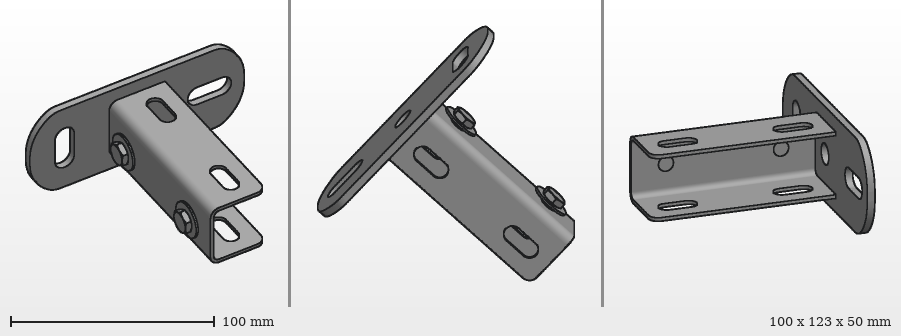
import cadquery as cq
import math

PLATE_LENGTH = 123.0
PLATE_HEIGHT = 50.0
PLATE_THICKNESS = 4.0
END_FLAT = 4.9
END_RADIUS = 25.0
BLEND_RADIUS = 11.6
PLATE_OPENING_WIDTH = 11.0
PLATE_SLOT_LENGTH = 25.0
PLATE_SLOT_OFFSET = 41.6

OVERALL_LENGTH = 100.0
CHANNEL_DEPTH = 32.0
CHANNEL_HEIGHT = 35.0
WALL = 2.0
BEND_RADIUS = 4.9
FLANGE_CORNER_RADIUS = 5.0
FLANGE_SLOT_LENGTH = 20.0
FLANGE_SLOT_WIDTH = 8.6
FLANGE_SLOT_Y = 3.1

FIRST_BOLT_X = 21.9
BOLT_PITCH = 60.0
BOLT_XS = [FIRST_BOLT_X, FIRST_BOLT_X + BOLT_PITCH]
SHANK_DIAMETER = 7.9
HEAD_ACROSS_FLATS = 11.1
HEAD_HEIGHT = 3.7
HEAD_FACE_DIAMETER = 10.8
HEAD_CHAMFER_ANGLE = 30.0
WASHER_DIAMETER = 19.3
WASHER_THICKNESS = 1.1
WASHER_GAP = 2.0

WEB_OUTER_Y = -CHANNEL_DEPTH / 2
WEB_INNER_Y = WEB_OUTER_Y + WALL
WASHER_INNER_Y = WEB_OUTER_Y - WASHER_GAP
WASHER_OUTER_Y = WASHER_INNER_Y - WASHER_THICKNESS
HEAD_OUTER_Y = WASHER_OUTER_Y - HEAD_HEIGHT


def cylinder_along_y(x, diameter, y_start, y_end):
    """Cylinder on the axis at the given x and z = 0."""
    return cq.Workplane(
        cq.Solid.makeCylinder(
            diameter / 2, y_end - y_start, cq.Vector(x, y_start, 0), cq.Vector(0, 1, 0)
        )
    )


def plate_outline():
    """Closed outline in YZ; each corner is a large arc and a tangent smaller one."""
    half_length = PLATE_LENGTH / 2
    half_height = PLATE_HEIGHT / 2
    half_flat = END_FLAT / 2
    end_centre = (half_length - END_RADIUS, half_flat)
    blend_z = half_height - BLEND_RADIUS
    centre_distance = END_RADIUS - BLEND_RADIUS
    join_angle = math.asin((blend_z - half_flat) / centre_distance)
    blend_centre = (end_centre[0] + centre_distance * math.cos(join_angle), blend_z)

    def on_arc(centre, radius, angle):
        return (centre[0] + radius * math.cos(angle), centre[1] + radius * math.sin(angle))

    corner = [
        (half_length, half_flat),
        on_arc(end_centre, END_RADIUS, join_angle / 2),
        on_arc(end_centre, END_RADIUS, join_angle),
        on_arc(blend_centre, BLEND_RADIUS, (join_angle + math.pi / 2) / 2),
        (blend_centre[0], half_height),
    ]

    outline = cq.Workplane("YZ").moveTo(half_length, -half_flat)
    for y_sign, z_sign in [(1, 1), (-1, 1), (-1, -1), (1, -1)]:
        points = [(y_sign * y, z_sign * z) for y, z in corner]
        if y_sign != z_sign:
            points.reverse()
        start, end_middle, join, blend_middle, finish = points
        outline = outline.lineTo(*start)
        outline = outline.threePointArc(end_middle, join)
        outline = outline.threePointArc(blend_middle, finish)
    return outline.close()


def make_plate():
    plate = plate_outline().extrude(PLATE_THICKNESS)
    openings = (
        cq.Workplane("YZ")
        .circle(PLATE_OPENING_WIDTH / 2)
        .extrude(PLATE_THICKNESS)
    )
    for y, angle in [(PLATE_SLOT_OFFSET, 0), (-PLATE_SLOT_OFFSET, 90)]:
        slot = (
            cq.Workplane("YZ")
            .center(y, 0)
            .slot2D(PLATE_SLOT_LENGTH, PLATE_OPENING_WIDTH, angle)
            .extrude(PLATE_THICKNESS)
        )
        openings = openings.union(slot)
    return plate.cut(openings)


def make_channel():
    length = OVERALL_LENGTH - PLATE_THICKNESS
    profile_start = cq.Workplane("YZ", origin=(PLATE_THICKNESS, 0, 0))
    outer = (
        profile_start
        .rect(CHANNEL_DEPTH, CHANNEL_HEIGHT)
        .extrude(length)
        .edges("|X and <Y")
        .fillet(BEND_RADIUS)
    )
    inner = (
        profile_start
        .center(WALL, 0)
        .rect(CHANNEL_DEPTH, CHANNEL_HEIGHT - 2 * WALL)
        .extrude(length)
        .edges("|X and <Y")
        .fillet(BEND_RADIUS - WALL)
    )
    channel = outer.cut(inner)

    channel = channel.edges("|Z and >X and >Y").fillet(FLANGE_CORNER_RADIUS)

    slots = (
        cq.Workplane("XY", origin=(0, FLANGE_SLOT_Y, 0))
        .pushPoints([(x, 0) for x in BOLT_XS])
        .slot2D(FLANGE_SLOT_LENGTH, FLANGE_SLOT_WIDTH)
        .extrude(CHANNEL_HEIGHT / 2, both=True)
    )
    channel = channel.cut(slots)

    for x in BOLT_XS:
        channel = channel.cut(cylinder_along_y(x, SHANK_DIAMETER, WEB_OUTER_Y, WEB_INNER_Y))
    return channel


def make_washer(x):
    disc = cylinder_along_y(x, WASHER_DIAMETER, WASHER_OUTER_Y, WASHER_INNER_Y)
    bore = cylinder_along_y(x, SHANK_DIAMETER, WASHER_OUTER_Y, WASHER_INNER_Y)
    return disc.cut(bore)


def make_bolt(x):
    """Hexagon bolt; its shank ends flush with the inside of the web."""
    corner_radius = HEAD_ACROSS_FLATS / math.sqrt(3)
    face_radius = HEAD_FACE_DIAMETER / 2
    chamfer_height = (corner_radius - face_radius) * math.tan(math.radians(HEAD_CHAMFER_ANGLE))
    hexagon = (
        cq.Workplane("XZ", origin=(x, WASHER_OUTER_Y, 0))
        .transformed(rotate=(0, 0, 90))
        .polygon(6, 2 * corner_radius)
        .extrude(HEAD_HEIGHT)
    )
    corner_trim = (
        cylinder_along_y(x, 2 * corner_radius, HEAD_OUTER_Y, WASHER_OUTER_Y)
        .edges("%CIRCLE")
        .chamfer(chamfer_height, corner_radius - face_radius)
    )
    shank = cylinder_along_y(x, SHANK_DIAMETER, WASHER_OUTER_Y, WEB_INNER_Y)
    return hexagon.intersect(corner_trim).union(shank)


plate = make_plate()
channel = make_channel()
washers = [make_washer(x) for x in BOLT_XS]
bolts = [make_bolt(x) for x in BOLT_XS]

result = cq.Compound.makeCompound(
    [plate.val(), channel.val()]
    + [washer.val() for washer in washers]
    + [bolt.val() for bolt in bolts]
)